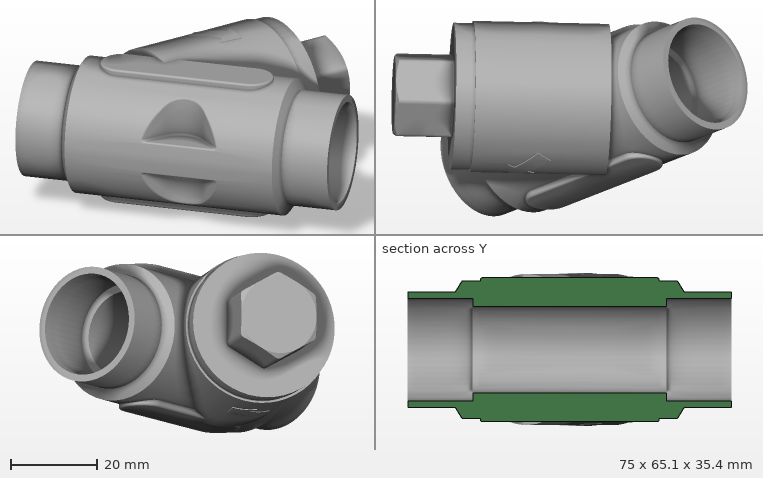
import cadquery as cq
import math

pipe_length = 75.0
pipe_diameter = 26.9
socket_diameter = 23.7
socket_depth = 15.0
bore_diameter = 20.0
body_diameter = 32.0
body_length = 53.0
body_taper_length = 1.6

branch_angle = 50.0
branch_foot_x = -14.55
branch_diameter = 35.0
branch_start = 7.0
branch_end = 38.5
cap_diameter = 34.0
cap_length = 4.5
hex_across_flats = 18.0
hex_height = 13.5
hex_turn = 30.0
hex_corner_radius = 1.3
hex_end_diameter = 18.0
hex_end_angle = 30.0

plate_length = 41.5
plate_width = 10.35
plate_top_z = 16.7
plate_edge_radius = 0.5

arrow_tail_x = -4.6
arrow_neck_x = 3.4
arrow_tip_x = 7.5
arrow_y = 20.1
arrow_shaft_width = 4.05
arrow_head_width = 8.3
arrow_relief = 0.19

pocket_x = 2.4
pocket_floor_z = 4.0
pocket_back_y = -9.1
pocket_back_radius = 6.5
pocket_wall_angle = 45.0
pocket_floor_radius = 0.5
pocket_rim_radius = 0.45
pocket_rim_reach = 15.0
pocket_rim_back_y = -8.25

body_radius = body_diameter / 2
clearance = 1.5

slope = math.radians(branch_angle)
branch_axis = cq.Vector(math.cos(slope), math.sin(slope), 0)
branch_side = cq.Vector(math.sin(slope), -math.cos(slope), 0)
branch_foot = cq.Vector(branch_foot_x, 0, 0)


def branch_plane(distance):
    """Plane across the branch axis, at a distance from the point where it meets the pipe axis."""
    return cq.Plane(origin=branch_foot + branch_axis * distance, xDir=branch_side, normal=branch_axis)


def branch_cylinder(diameter, start, end):
    return cq.Workplane(branch_plane(start)).circle(diameter / 2).extrude(end - start)


def mirrored_pair(upper):
    """The shape together with its mirror image below the XY plane."""
    return upper.union(upper.mirror("XY"))


def make_body():
    """Cylinder along X with a cone down to the pipe at each end."""
    half = body_length / 2
    shoulder = half - body_taper_length
    profile = [
        (-half, 0),
        (-half, pipe_diameter / 2),
        (-shoulder, body_radius),
        (shoulder, body_radius),
        (half, pipe_diameter / 2),
        (half, 0),
    ]
    return cq.Workplane("XY").polyline(profile).close().revolve(360, (0, 0, 0), (1, 0, 0))


def make_hexagon():
    """Hexagonal head with rounded corners and a conical chamfer at its end."""
    corner_diameter = hex_across_flats / math.cos(math.pi / 6)
    bar = (
        cq.Workplane(branch_plane(branch_end + cap_length))
        .transformed(rotate=(0, 0, hex_turn))
        .polygon(6, corner_diameter)
        .extrude(hex_height)
    )
    along_branch = cq.selectors.ParallelDirSelector(branch_axis)
    bar = bar.edges(along_branch).fillet(hex_corner_radius)
    end_radius = hex_end_diameter / 2
    cone_length = hex_height + clearance
    cone_growth = cone_length / math.tan(math.radians(hex_end_angle))
    top = branch_end + cap_length + hex_height
    cone = (
        cq.Workplane(branch_plane(top))
        .circle(end_radius)
        .workplane(offset=-cone_length)
        .circle(end_radius + cone_growth)
        .loft(ruled=True)
    )
    return bar.intersect(cone)


def make_plates():
    plate = (
        cq.Workplane("XY")
        .slot2D(plate_length, plate_width)
        .extrude(plate_top_z)
        .faces(">Z")
        .edges()
        .fillet(plate_edge_radius)
    )
    return mirrored_pair(plate)


def make_arrows():
    """Arrow prism through the branch, ending just above the branch surface on both sides."""
    shaft = arrow_shaft_width / 2
    head = arrow_head_width / 2
    outline = [
        (arrow_tail_x, -shaft),
        (arrow_neck_x, -shaft),
        (arrow_neck_x, -head),
        (arrow_tip_x, 0),
        (arrow_neck_x, head),
        (arrow_neck_x, shaft),
        (arrow_tail_x, shaft),
    ]
    prism = (
        cq.Workplane("XY")
        .center(0, arrow_y)
        .polyline(outline)
        .close()
        .extrude(branch_diameter, both=True)
    )
    relief_cylinder = branch_cylinder(branch_diameter + 2 * arrow_relief, branch_start, branch_end)
    return prism.intersect(relief_cylinder)


def make_pocket():
    """Pocket with a flat floor, a round back and two slanted side walls."""
    angle = math.radians(pocket_wall_angle)
    tangent_x = pocket_back_radius * math.sin(angle)
    tangent_y = pocket_back_y - pocket_back_radius * (1 - math.cos(angle))
    front_y = -body_radius - clearance
    front_x = tangent_x + (tangent_y - front_y) / math.tan(angle)
    pocket = (
        cq.Workplane("XY", origin=(pocket_x, 0, pocket_floor_z))
        .moveTo(-front_x, front_y)
        .lineTo(-tangent_x, tangent_y)
        .threePointArc((0, pocket_back_y), (tangent_x, tangent_y))
        .lineTo(front_x, front_y)
        .close()
        .extrude(body_radius)
    )
    return pocket.faces("<Z").edges("not <Y").fillet(pocket_floor_radius)


def pocket_rim_box():
    """Selector for the edges where the pockets break through the body surface."""
    reach = body_radius + clearance
    low = (pocket_x - pocket_rim_reach, -reach, -reach)
    high = (pocket_x + pocket_rim_reach, pocket_rim_back_y, reach)
    return cq.selectors.BoxSelector(low, high, True)


def make_casing():
    """Body and pipe ends with both pockets and their rounded rims."""
    pipe = cq.Workplane("YZ").circle(pipe_diameter / 2).extrude(pipe_length / 2, both=True)
    casing = make_body().union(pipe).cut(mirrored_pair(make_pocket()))
    return casing.edges(pocket_rim_box()).fillet(pocket_rim_radius)


def make_bore():
    """Through bore with a wider socket at each end."""
    bore = cq.Workplane("YZ").circle(bore_diameter / 2).extrude(pipe_length / 2, both=True)
    socket = (
        cq.Workplane("YZ", origin=(pipe_length / 2 - socket_depth, 0, 0))
        .circle(socket_diameter / 2)
        .extrude(socket_depth)
    )
    return bore.union(socket).union(socket.mirror("YZ"))


branch = branch_cylinder(branch_diameter, branch_start, branch_end)
cap = branch_cylinder(cap_diameter, branch_end, branch_end + cap_length)
result = make_casing().union(branch).union(cap).union(make_hexagon())
result = result.union(make_plates()).union(make_arrows())
result = result.cut(make_bore())